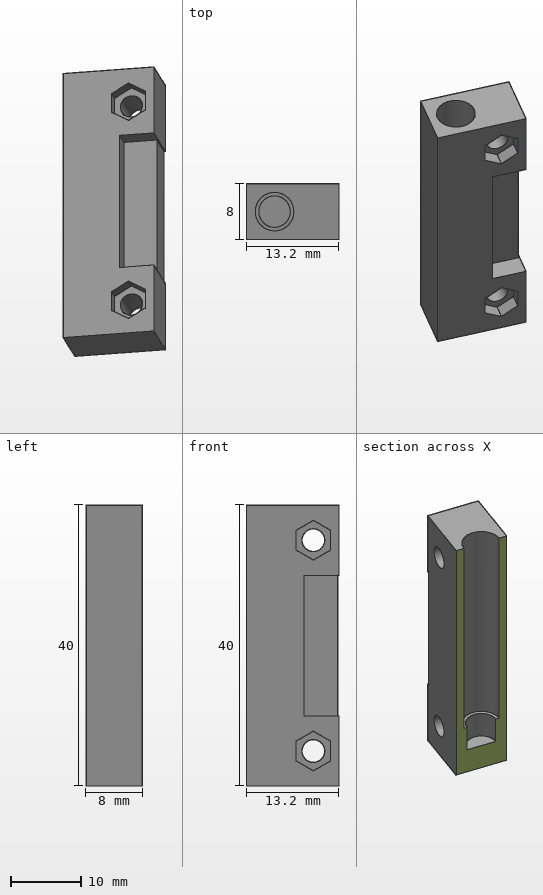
import cadquery as cq

width = 13.2
depth = 8.0
height = 40.0

bore_x = depth / 2
bore_y = depth / 2
bore_diameter = 5.5
bore_depth = 32.0
bore_tip_diameter = 4.5
bore_tip_depth = 4.0

recess_height = height / 2
recess_length = 5.0
recess_depth = 3.0
web_setback = 0.2

screw_x = 9.5
screw_inset = (height - recess_height) / 4
screw_diameter = 3.2
nut_corner_diameter = 5.65
nut_depth = 2.0


def box_at(size, corner):
    """Box of the given size whose lowest corner is at the given point."""
    return cq.Workplane("XY").box(*size, centered=False).translate(corner)


def stepped_bore():
    """Wide bore from the top face, ending in a narrower blind tip."""
    mouth = cq.Workplane("XY", origin=(bore_x, bore_y, height))
    main = mouth.circle(bore_diameter / 2).extrude(-bore_depth)
    tip = mouth.circle(bore_tip_diameter / 2).extrude(-(bore_depth + bore_tip_depth))
    return main.union(tip)


def lug_recess():
    """Front step plus the shallow setback of the web behind it."""
    bottom = (height - recess_height) / 2
    step = box_at((recess_length, recess_depth, recess_height), (width - recess_length, 0, bottom))
    setback = box_at((web_setback, depth, recess_height), (width - web_setback, 0, bottom))
    return step.union(setback)


def nut_and_screw(z):
    """Hexagonal pocket, corners up and down, with a round hole through to the back."""
    front = cq.Workplane("XZ", origin=(screw_x, 0, z))
    corners_up = front.transformed(rotate=(0, 0, 90))
    pocket = corners_up.polygon(6, nut_corner_diameter).extrude(-nut_depth)
    hole = front.circle(screw_diameter / 2).extrude(-depth)
    return pocket.union(hole)


result = box_at((width, depth, height), (0, 0, 0)).cut(stepped_bore()).cut(lug_recess())
for screw_z in (screw_inset, height - screw_inset):
    result = result.cut(nut_and_screw(screw_z))